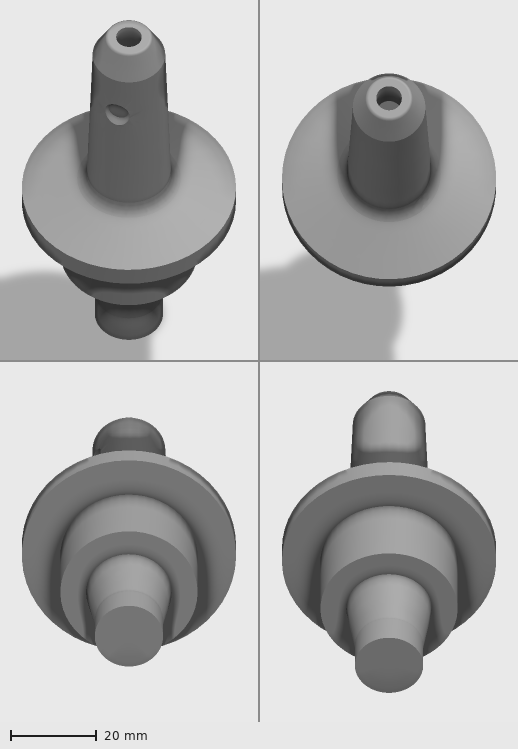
import cadquery as cq
import math

overall_height = 101.0
pin_top = 7.9
lower_cone_top = 22.3
drum_top = 41.0
rim_top = 46.1
nose_base = 94.6

pin_radius = 16.0 / 2
lower_cone_top_radius = 20.0 / 2
drum_radius = 32.0 / 2
flange_radius = 50.0 / 2
shank_base_radius = 9.9
nose_base_radius = 8.5
nose_tip_radius = 5.3

flange_slope = math.radians(15)
root_fillet = 3.0
tip_fillet = 0.8

bore_diameter = 6.0
bore_depth = 10.1

dimple_height = 82.8
dimple_floor_radius = 2.3
dimple_floor_y = -7.7
dimple_cutter_length = 2.0

shank_base = rim_top + (flange_radius - shank_base_radius) * math.tan(flange_slope)


def make_body():
    """Revolve the stepped outline and round the shank root and the tip."""
    outline = [
        (0, 0),
        (pin_radius, 0),
        (pin_radius, pin_top),
        (lower_cone_top_radius, lower_cone_top),
        (drum_radius, lower_cone_top),
        (drum_radius, drum_top),
        (flange_radius, drum_top),
        (flange_radius, rim_top),
        (shank_base_radius, shank_base),
        (nose_base_radius, nose_base),
        (nose_tip_radius, overall_height),
        (0, overall_height),
    ]
    body = cq.Workplane("YZ").polyline(outline).close().revolve(360, (0, 0), (0, 1))
    root_centre = (0, 0, shank_base)
    body = body.edges("%CIRCLE").edges(cq.selectors.NearestToPointSelector(root_centre)).fillet(root_fillet)
    return body.faces(">Z").edges().fillet(tip_fillet)


def make_bore():
    """Cylinder that removes the blind bore from the tip."""
    bore = cq.Workplane("XY").workplane(offset=overall_height - bore_depth)
    return bore.circle(bore_diameter / 2).extrude(bore_depth)


def make_dimple():
    """Flat-floored cone that widens outward along -Y."""
    mouth_radius = dimple_floor_radius + dimple_cutter_length
    return cq.Workplane(
        cq.Solid.makeCone(
            dimple_floor_radius,
            mouth_radius,
            dimple_cutter_length,
            pnt=cq.Vector(0, dimple_floor_y, dimple_height),
            dir=cq.Vector(0, -1, 0),
        )
    )


result = make_body().cut(make_bore()).cut(make_dimple())